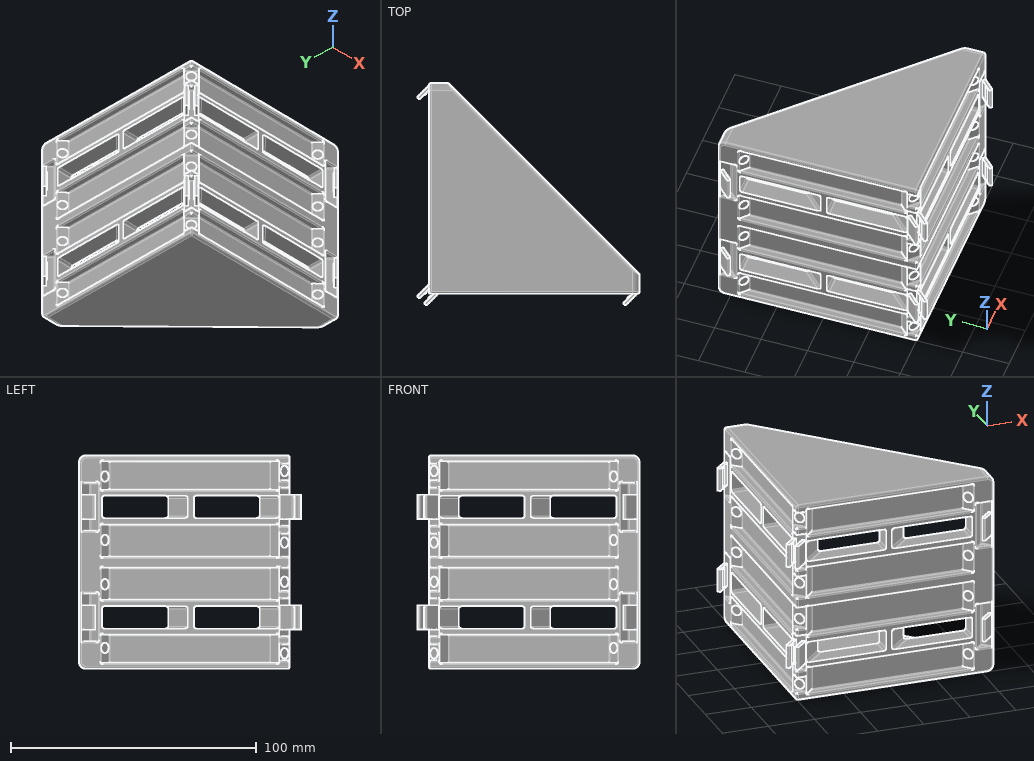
import cadquery as cq
import math

LEG = 85.85
HEIGHT = 87.0
WALL = 8.0
PLATE = 5.5
OVERHANG = 4.66
HALF_HEIGHT = HEIGHT / 2

EDGE_ROUND = 1.0
END_ROUND = 3.0
CORNER_ROUND = 0.7

POST = 4.2

RECESS_DEPTH = 3.5
LIP = 0.6
FLOOR_ROUND = 0.4
OUTLINE_ROUND = 1.1

POCKET_END = 77.2
OUTER_POCKET = (28.9, 41.6)
INNER_POCKET = (1.6, 15.85)

HOOK_Z = 22.5
WINDOW_HEIGHT = 9.1
WINDOW_ROUND = 1.0
WINDOW_SPANS = ((4.25, 38.95), (41.45, 76.35))

HOOK_HEIGHT = 10.0
HOOK_THICKNESS = 1.4
TIP_ROUND = 0.3
HOOK_ROOT = 1.0
CORNER_HOOK_OFFSET = 3.85
END_HOOK_OFFSET = 84.85
BARB_LENGTH = 1.8
BARB_RISE = 0.35
BARB_FROM_TIP = 3.3
BARB_INSET = 0.8

SEAT_START = 77.6
SEAT_END = 84.8
SEAT_HEIGHT = 20.8
SEAT_ROUND = 0.5

SLOT_HEIGHT = 16.6
RIB = 2.0
UPPER_NOTCH_TOP = 40.6

DISC_DIAMETER = 4.3
DISC_DEPTH = 0.1
POST_DISC_Z = (8.0, 37.1)
POCKET_DISC_Z = (9.0, 34.9)

INWARD = cq.Vector(1, 1, 0)
MIRROR_NORMAL = (1, -1, 0)
ROOT2 = math.sqrt(2)
EIGHTH_TURN = math.pi / 4


def prism(points, z_low, z_high):
    """Upright prism on a plan polygon."""
    return cq.Workplane("XY").workplane(offset=z_low).polyline(points).close().extrude(z_high - z_low)


def front_prism(x_low, x_high, z_low, z_high, corner, depth):
    """Rounded rectangle on the front face, pushed back along +Y."""
    width = x_high - x_low
    height = z_high - z_low
    block = cq.Workplane("XY").box(width, depth, height, centered=False).translate((x_low, 0, z_low))
    return block.edges("|Y").fillet(corner)


def body():
    """Triangular block with rounded edges, hollowed and open along its long side."""
    plan = [(0, 0), (LEG, 0), (LEG, WALL), (WALL, LEG), (0, LEG)]
    block = prism(plan, -HALF_HEIGHT, HALF_HEIGHT)
    block = block.edges("(|Y and >X) or (|X and >Y)").fillet(END_ROUND)
    block = block.faces("<X").edges("<Y").fillet(CORNER_ROUND)
    block = block.faces("<X or <Y or >Z or <Z").edges().fillet(EDGE_ROUND)
    hollow = prism([(WALL, WALL), (LEG, WALL), (WALL, LEG)], PLATE - HALF_HEIGHT, HALF_HEIGHT - PLATE)
    return block.cut(hollow)


def flared_recess(plan, z_low, z_high):
    """Recess with the given plan whose upper and lower edges open out through a rounded lip."""
    sag = LIP * (1 - math.sqrt(0.5))
    profile = (
        cq.Workplane("YZ")
        .moveTo(0, z_low)
        .threePointArc((sag, z_low + LIP - sag), (LIP, z_low + LIP))
        .lineTo(WALL, z_low + LIP)
        .lineTo(WALL, z_high - LIP)
        .lineTo(LIP, z_high - LIP)
        .threePointArc((sag, z_high - LIP + sag), (0, z_high))
        .close()
        .extrude(LEG)
    )
    block = plan.extrude(z_high - z_low).translate((0, 0, z_low))
    return profile.intersect(block)


def lip_points(x_start, direction):
    """Start, middle and end of the rounded lip that leads into a 45 degree end wall."""
    angles = (0, EIGHTH_TURN / 2, EIGHTH_TURN)
    return [(x_start + direction * LIP * math.sin(a), LIP * (1 - math.cos(a))) for a in angles]


def pocket(z_low, z_high):
    """Long pocket with slanted ends, rounded lips and a rounded floor edge."""
    left = lip_points(POST, 1)
    right = lip_points(POCKET_END, -1)
    plan = (
        cq.Workplane("XY")
        .moveTo(*left[0])
        .threePointArc(*left[1:])
        .lineTo(left[2][0] + RECESS_DEPTH - left[2][1], RECESS_DEPTH)
        .lineTo(right[2][0] - RECESS_DEPTH + right[2][1], RECESS_DEPTH)
        .lineTo(*right[2])
        .threePointArc(*right[1::-1])
        .close()
    )
    cutter = flared_recess(plan, z_low, z_high)
    cutter = cutter.faces(">Y").edges().fillet(FLOOR_ROUND)
    return cutter.intersect(front_prism(POST, POCKET_END, z_low, z_high, OUTLINE_ROUND, RECESS_DEPTH))


def corner_notch(z_low, z_high):
    """Notch that cuts the square corner back to the flat of the post, with a lip on both leg faces."""
    plan = cq.Workplane("XY").polyline([(0, 0), (POST, 0), (0, POST)]).close()
    front_half = flared_recess(plan, z_low, z_high)
    cutter = front_half.union(front_half.mirror(MIRROR_NORMAL))
    return cutter.faces(cq.selectors.DirectionMinMaxSelector(INWARD)).edges("#Z").fillet(FLOOR_ROUND)


def hook_seat():
    """V-shaped seat at the far end of a leg; the end hook is rooted in its outer wall."""
    z_low = HOOK_Z - SEAT_HEIGHT / 2
    z_high = HOOK_Z + SEAT_HEIGHT / 2
    lip = lip_points(SEAT_START, 1)
    inner_wall = lip[2][0] - lip[2][1]
    bottom = ((SEAT_END + inner_wall) / 2, (SEAT_END - inner_wall) / 2)
    plan = (
        cq.Workplane("XY")
        .moveTo(*lip[0])
        .threePointArc(*lip[1:])
        .lineTo(*bottom)
        .lineTo(SEAT_END, 0)
        .close()
    )
    cutter = flared_recess(plan, z_low, z_high)
    cutter = cutter.edges("|Z").edges(">Y").fillet(SEAT_ROUND)
    cutter = cutter.faces("|Z").edges("not |X").fillet(FLOOR_ROUND)
    rounded = front_prism(SEAT_START, SEAT_END + OUTLINE_ROUND, z_low, z_high, OUTLINE_ROUND, RECESS_DEPTH)
    return cutter.intersect(rounded)


def window(x_low, x_high):
    """Through window whose side nearest the corner is slanted at 45 degrees."""
    z_low = HOOK_Z - WINDOW_HEIGHT / 2
    plan = [(x_low, 0), (x_high, 0), (x_high, WALL), (x_low + WALL, WALL)]
    return prism(plan, z_low, z_low + WINDOW_HEIGHT).faces("<X or >X").edges("#Z").fillet(WINDOW_ROUND)


def disc_recess(diagonal_sum, diagonal_difference, z):
    """Shallow round recess on a face that looks along (-1, -1, 0)."""
    x = (diagonal_sum + diagonal_difference) / 2
    y = (diagonal_sum - diagonal_difference) / 2
    face = cq.Plane(origin=(x, y, z), xDir=(1, -1, 0), normal=INWARD)
    return cq.Workplane(face).circle(DISC_DIAMETER / 2).extrude(DISC_DEPTH)


def hook(root_sum, outer_difference):
    """Flat hook running along (-1, -1, 0), with a small barb on its inner side.

    Its root lies on the face x + y = root_sum and its outer side on x - y = outer_difference.
    """
    sharp_overhang = OVERHANG + TIP_ROUND * (ROOT2 - 1)
    length = ((root_sum - outer_difference) / 2 + sharp_overhang) * ROOT2
    root = cq.Plane(
        origin=((root_sum + outer_difference) / 2, (root_sum - outer_difference) / 2, HOOK_Z),
        xDir=(-1, -1, 0),
        normal=(0, 0, 1),
    )
    blade = (
        cq.Workplane(root)
        .center((length - HOOK_ROOT) / 2, -HOOK_THICKNESS / 2)
        .rect(length + HOOK_ROOT, HOOK_THICKNESS)
        .extrude(HOOK_HEIGHT / 2, both=True)
        .faces("<(1, 1, 0)")
        .edges("|Z")
        .fillet(TIP_ROUND)
    )
    barb_middle = length - BARB_FROM_TIP
    barb = (
        cq.Workplane(root)
        .moveTo(barb_middle - BARB_LENGTH / 2, -HOOK_THICKNESS)
        .threePointArc(
            (barb_middle, -HOOK_THICKNESS - BARB_RISE),
            (barb_middle + BARB_LENGTH / 2, -HOOK_THICKNESS),
        )
        .close()
        .extrude(HOOK_HEIGHT / 2 - BARB_INSET, both=True)
    )
    return blade.union(barb)


def corner_cuts():
    """Cuts into the upper half of the square corner."""
    slot_low = HOOK_Z - SLOT_HEIGHT / 2
    slot_high = HOOK_Z + SLOT_HEIGHT / 2
    notches = [
        corner_notch(INNER_POCKET[0], slot_low - RIB),
        corner_notch(slot_low, slot_high),
        corner_notch(slot_high + RIB, UPPER_NOTCH_TOP),
    ]
    return notches + [disc_recess(POST, 0, z) for z in POST_DISC_Z]


def leg_cuts():
    """Cuts into the upper half of the front leg."""
    wall_x, wall_y = lip_points(POCKET_END, -1)[2]
    wall_sum = wall_x + wall_y
    wall_middle = wall_sum - RECESS_DEPTH
    cuts = [pocket(*OUTER_POCKET), pocket(*INNER_POCKET), hook_seat()]
    cuts += [window(*span) for span in WINDOW_SPANS]
    return cuts + [disc_recess(wall_sum, wall_middle, z) for z in POCKET_DISC_Z]


def in_both_halves(shapes):
    """The shapes with their copies in the lower half."""
    return shapes + [shape.mirror("XY") for shape in shapes]


def on_both_legs(shapes):
    """The shapes with their copies on the other leg."""
    return shapes + [shape.mirror(MIRROR_NORMAL) for shape in shapes]


cuts = in_both_halves(corner_cuts() + on_both_legs(leg_cuts()))
hooks = in_both_halves(on_both_legs([hook(POST, CORNER_HOOK_OFFSET), hook(SEAT_END, END_HOOK_OFFSET)]))

block = body().val().cut(*[cut.val() for cut in cuts])
block = block.fuse(*[clip.val() for clip in hooks])
result = cq.Workplane(block).solids()